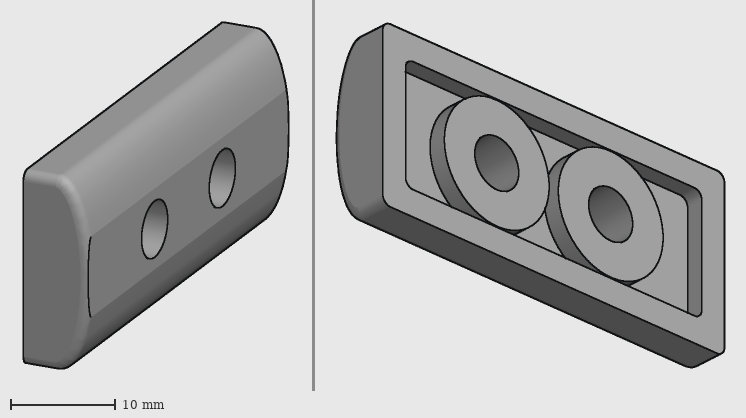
import cadquery as cq

depth = 6.8
length = 45.0
height = 20.0
side_depth = 3.5
dome_rise = 3.63
edge_radius = 1.0

rim_width = 3.0
recess_depth = 2.0
recess_corner_radius = 1.0

boss_diameter = 13.8
hole_diameter = 5.8
hole_spacing = 15.0


def domed_bar():
    """Bar along Y with a flat back at X = 0, a half-elliptical front and rounded ends."""
    half_height = height / 2
    bar = (
        cq.Workplane("XZ", origin=(0, length / 2, 0))
        .moveTo(side_depth, -half_height)
        .lineTo(0, -half_height)
        .lineTo(0, half_height)
        .lineTo(side_depth, half_height)
        .ellipseArc(
            half_height,
            dome_rise,
            angle1=0,
            angle2=180,
            rotation_angle=-90,
            sense=-1,
        )
        .close()
        .extrude(length)
    )
    return bar.faces("<Y or >Y").edges("not <X").fillet(edge_radius)


def crest():
    """Top of the dome beyond the overall depth; cutting it leaves a flat front face."""
    return (
        cq.Workplane("YZ", origin=(depth, 0, 0))
        .rect(length, height)
        .extrude(side_depth + dome_rise - depth)
    )


def recess():
    """Rounded rectangular pocket, leaving an even rim."""
    return (
        cq.Workplane("YZ")
        .rect(length - 2 * rim_width, height - 2 * rim_width)
        .extrude(recess_depth)
        .edges("|X")
        .fillet(recess_corner_radius)
    )


def along_hole_axes(diameter, reach):
    """Two cylinders from the back face along X, one on each screw axis."""
    half_spacing = hole_spacing / 2
    return (
        cq.Workplane("YZ")
        .pushPoints([(-half_spacing, 0), (half_spacing, 0)])
        .circle(diameter / 2)
        .extrude(reach)
    )


bosses = along_hole_axes(boss_diameter, recess_depth)
holes = along_hole_axes(hole_diameter, depth)

result = domed_bar().cut(crest()).cut(recess().cut(bosses)).cut(holes)